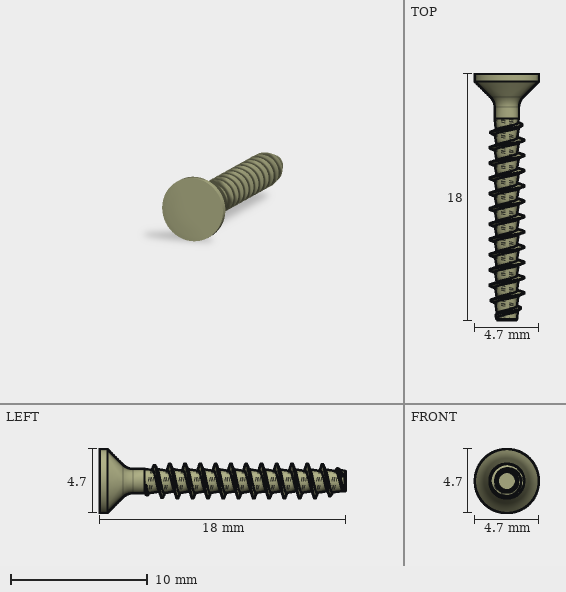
import cadquery as cq
import math

length = 18.0

head_diameter = 4.7
head_radius = head_diameter / 2
rim_height = 0.55
neck_radius = 0.9
neck_fillet = 1.0
threaded_length = 14.72
tip_face_radius = 0.67
cone_angle = math.radians(45)

pitch = 1.12
turns = 15
first_crest_height = -1.35
flight_width = 0.32
crest_width = 0.04
points_per_turn = 36

narrow_core = [(0, 0.74), (13.32, 0.75), (threaded_length, 0.88)]
wide_core = [(0, 0.77), (1.44, 0.86), (threaded_length, 0.9)]
crest = [(0, 0.8), (0.32, 0.83), (0.86, 1.03), (1.42, 1.19), (1.98, 1.28), (13.14, 1.28), (14.27, 1.15), (14.83, 0.94)]


def radius_at(height, stations):
    """Radius at a height, constant beyond the first and last stations."""
    if height <= stations[0][0]:
        return stations[0][1]
    for (low, low_radius), (high, high_radius) in zip(stations, stations[1:]):
        if height <= high:
            return low_radius + (high_radius - low_radius) * (height - low) / (high - low)
    return stations[-1][1]


def spiral(turn, offset, stations):
    """One turn of a rising spiral, offset in height from the crest centre."""
    points = []
    fractions = [step / points_per_turn for step in range(points_per_turn + 1)]
    for fraction in fractions:
        angle = 2 * math.pi * fraction
        height = first_crest_height + offset + pitch * (turn + fraction)
        radius = radius_at(height, stations)
        points.append(cq.Vector(radius * math.cos(angle), radius * math.sin(angle), height))
    return cq.Edge.makeSpline(points, parameters=fractions)


def end_cap(edge):
    """Helicoid between a spiral edge and the axis, closing one end of the rod."""
    bottom = cq.Vector(0, 0, edge.startPoint().z)
    top = cq.Vector(0, 0, edge.endPoint().z)
    axis = cq.Edge.makeLine(bottom, top)
    return cq.Face.makeRuledSurface(axis, edge)


def radial_step(points):
    """Flat face between the axis and one pitch of the thread profile."""
    outline = [cq.Vector(0, 0, points[0].z), *points, cq.Vector(0, 0, points[-1].z)]
    return cq.Face.makeFromWires(cq.Wire.makePolygon(outline, close=True))


def threaded_rod():
    """Solid rod bounded by helical strips, trimmed at the bevelled tip and the shank."""
    profile = [
        (-flight_width / 2, wide_core),
        (-crest_width / 2, crest),
        (crest_width / 2, crest),
        (flight_width / 2, narrow_core),
    ]
    faces = []
    first_edges = [spiral(0, *corner) for corner in profile]
    edges = first_edges
    for turn in range(turns):
        next_edges = [spiral(turn + 1, *corner) for corner in profile]
        strip_edges = edges + next_edges[:1]
        for lower, upper in zip(strip_edges, strip_edges[1:]):
            faces.append(cq.Face.makeRuledSurface(lower, upper))
        last_edges = edges
        edges = next_edges
    faces.append(end_cap(first_edges[0]))
    faces.append(end_cap(edges[0]))
    faces.append(radial_step([edge.startPoint() for edge in first_edges] + [first_edges[0].endPoint()]))
    faces.append(radial_step([edge.endPoint() for edge in last_edges] + [edges[0].endPoint()]))
    rod = cq.Workplane(cq.Solid.makeSolid(cq.Shell.makeShell(faces)))
    trim = cq.Workplane().circle(head_radius).extrude(threaded_length)
    trim = trim.faces("<Z").chamfer(head_radius - tip_face_radius)
    return rod.intersect(trim)


def head_and_shank():
    """Turned body: rim, countersink cone, filleted neck and shank."""
    cone_start = length - rim_height
    cone_end = cone_start - (head_radius - neck_radius) / math.tan(cone_angle)
    tangent = neck_fillet * math.tan(cone_angle / 2)
    fillet_start = (
        neck_radius + tangent * math.sin(cone_angle),
        cone_end + tangent * math.cos(cone_angle),
    )
    fillet_end = (neck_radius, cone_end - tangent)
    fillet_middle = (
        neck_radius + neck_fillet * (1 - math.cos(cone_angle / 2)),
        fillet_end[1] + neck_fillet * math.sin(cone_angle / 2),
    )
    return (
        cq.Workplane("XZ")
        .moveTo(0, length)
        .lineTo(head_radius, length)
        .lineTo(head_radius, cone_start)
        .lineTo(*fillet_start)
        .threePointArc(fillet_middle, fillet_end)
        .lineTo(neck_radius, threaded_length)
        .lineTo(0, threaded_length)
        .close()
        .revolve(360, (0, 0, 0), (0, 1, 0))
    )


screw = head_and_shank().union(threaded_rod())
result = screw.rotate((0, 0, 0), (1, 0, 0), -90)